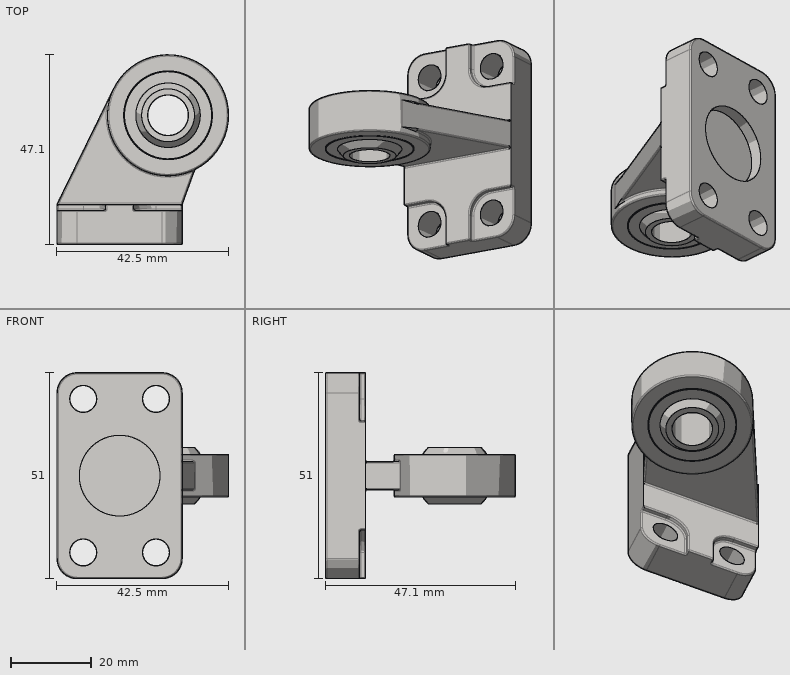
import cadquery as cq
import math

plate_width = 31.0
plate_height = 51.0
plate_thickness = 10.0
plate_corner_radius = 5.0
edge_radius = 0.35

hole_diameter = 6.6
hole_spacing_x = 18.0
hole_spacing_z = 38.0
hole_seat_radius = 5.5
hole_seat_depth = 1.5

recess_diameter = 20.0
recess_depth = 3.05

eye_x = 12.0
eye_y = 32.05
eye_diameter = 30.0
eye_width = 10.6
arm_thickness = 7.0
arm_short_side_angle = 70.0

outer_ring_diameter = 22.0
outer_ring_chamfer = 0.2
ball_diameter = 19.2
ball_width = 14.0
ball_bore_diameter = 10.0

eye_radius = eye_diameter / 2
half_width = plate_width / 2
half_height = plate_height / 2
small = 0.005


def eye_cylinder(diameter, width):
    """Cylinder on the eye axis, centred on z = 0."""
    return (
        cq.Workplane("XY", origin=(eye_x, eye_y, -width / 2))
        .circle(diameter / 2)
        .extrude(width)
    )


def make_plate():
    """Rounded plate with a rounded front rim and four corner screw seats."""
    plate = (
        cq.Workplane("XZ")
        .rect(plate_width, plate_height)
        .extrude(-plate_thickness)
        .edges("|Y")
        .fillet(plate_corner_radius)
        .faces("<Y")
        .edges()
        .fillet(edge_radius)
    )
    for side_x in (-1, 1):
        for side_z in (-1, 1):
            plate = plate.cut(seat_cutter(side_x, side_z))
    return plate


def seat_cutter(side_x, side_z):
    """Screw seat: a corner block with its inner corner rounded around the hole."""
    inner_x = hole_spacing_x / 2 - hole_seat_radius
    inner_z = hole_spacing_z / 2 - hole_seat_radius
    size_x = half_width - inner_x
    size_z = half_height - inner_z
    corner = (
        cq.Workplane("XY")
        .box(size_x, hole_seat_depth, size_z, centered=False)
        .edges("|Y and <X and <Z")
        .fillet(hole_seat_radius)
        .translate((inner_x, plate_thickness - hole_seat_depth, inner_z))
    )
    if side_x < 0:
        corner = corner.mirror("YZ")
    if side_z < 0:
        corner = corner.mirror("XY")
    return corner


def is_seat_edge(edge):
    """Edges at the plate's back that are rounded: all but the long side rims."""
    box = edge.BoundingBox()
    at_back = box.ymin > plate_thickness - hole_seat_depth - small
    on_side = box.xmax - box.xmin < small and abs(abs(box.xmin) - half_width) < small
    long_side_rim = on_side and box.zmin * box.zmax < 0
    return at_back and not long_side_rim


def make_arm():
    """Flat web from the plate's back face to the eye, still with sharp edges."""
    reach_x = eye_x + half_width
    reach_y = eye_y - plate_thickness
    corner_direction = math.atan2(-reach_y, -reach_x)
    tangent_angle = corner_direction - math.acos(eye_radius / math.hypot(reach_x, reach_y))
    tangent_x = eye_x + eye_radius * math.cos(tangent_angle)
    tangent_y = eye_y + eye_radius * math.sin(tangent_angle)
    short_side_rise = reach_y - eye_radius / 2
    short_side_run = short_side_rise / math.tan(math.radians(arm_short_side_angle))
    return (
        cq.Workplane("XY", origin=(0, 0, -arm_thickness / 2))
        .moveTo(-half_width, plate_thickness)
        .lineTo(tangent_x, tangent_y)
        .lineTo(eye_x, eye_y)
        .lineTo(half_width + short_side_run, plate_thickness + short_side_rise)
        .lineTo(half_width, plate_thickness)
        .close()
        .extrude(arm_thickness)
    )


def is_arm_edge(edge):
    """Arm edges that are rounded: long edges and the seams with the plate and the eye."""
    box = edge.BoundingBox()
    half_arm = arm_thickness / 2
    on_arm = (
        box.ymin > plate_thickness - small
        and box.zmax < half_arm + small
        and box.zmin > -half_arm - small
    )
    along_face = box.zmax - box.zmin < small
    short_side_end = box.xmin > half_width + small
    return on_arm and (along_face or short_side_end)


def round_edges(body, is_rounded):
    """Fillet every edge of the body that passes the given test."""
    chosen = [edge for edge in body.edges().vals() if is_rounded(edge)]
    return body.newObject(chosen).fillet(edge_radius)


def make_housing():
    """Plate, arm and eye in one piece, with screw holes, front recess and bearing bore."""
    plate = round_edges(make_plate(), is_seat_edge)
    eye = eye_cylinder(eye_diameter, eye_width).faces("<Z or >Z").edges().fillet(edge_radius)
    body = round_edges(plate.union(make_arm()).union(eye), is_arm_edge)
    holes = (
        cq.Workplane("XZ")
        .rect(hole_spacing_x, hole_spacing_z, forConstruction=True)
        .vertices()
        .circle(hole_diameter / 2)
        .extrude(-plate_thickness)
    )
    recess = cq.Workplane("XZ").circle(recess_diameter / 2).extrude(-recess_depth)
    bore = eye_cylinder(outer_ring_diameter, eye_width)
    return body.cut(holes).cut(recess).cut(bore)


def ball_sphere():
    """Sphere on the eye centre, shared by the ball and its seat."""
    return cq.Workplane("XY", origin=(eye_x, eye_y, 0)).sphere(ball_diameter / 2)


def make_ball():
    """Bearing inner ring: a sphere cut flat at both ends, with a through bore."""
    truncated = ball_sphere().intersect(eye_cylinder(ball_diameter, ball_width))
    return truncated.cut(eye_cylinder(ball_bore_diameter, ball_width))


def make_outer_ring():
    """Bearing outer ring: flush with the eye, with a spherical seat for the ball."""
    return (
        eye_cylinder(outer_ring_diameter, eye_width)
        .faces("<Z or >Z")
        .edges()
        .chamfer(outer_ring_chamfer)
        .cut(ball_sphere())
    )


housing = make_housing()
outer_ring = make_outer_ring()
ball = make_ball()

bodies = [housing, outer_ring, ball]
result = cq.Compound.makeCompound([body.solids().val() for body in bodies])